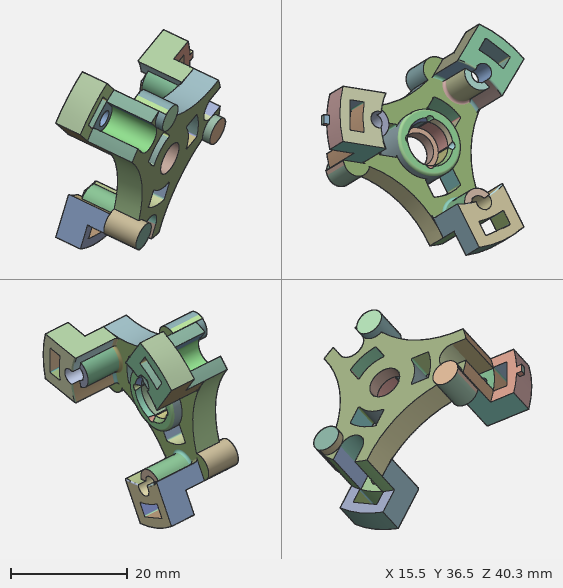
import cadquery as cq
import math


ARM_SHELF_X = 5.0
PLATE_FRONT_X = 9.0
PLATE_REAR_X = 14.0
PIN_END_X = 15.5
HUB_FRONT_X = 6.92
BEARING_FLOOR_X = 11.5
SLEEVE_FRONT_X = 1.7

ARM_COUNT = 3
ARM_STEP = 360 / ARM_COUNT
ARM_HALF_WIDTH = 5.0
ARM_INNER_RADIUS = 13.0
ARM_FOOT_RADIUS = 16.5
ARM_TIP_RADIUS = 20.98
NOSE_FILLET = 0.25
FOOT_FILLET = 0.5

SLOT_OUTER_Y = 19.0
SLOT_HALF_WIDTH = 2.75
SLOT_CORNER_FILLET = 0.2

SCREW_Y = 13.5
SCREW_HOLE_RADIUS = 1.5
SLEEVE_RADIUS = 2.8
SEAT_HALF_WIDTH = 2.5

PIN_RADIUS = SEAT_HALF_WIDTH
PIN_Y = math.sqrt((ARM_FOOT_RADIUS - PIN_RADIUS)**2 - ARM_HALF_WIDTH**2)

SCALLOP_DEPTH_RADIUS = 8.95
WINDOW_OUTER_RADIUS = 9.2
WINDOW_HALF_WIDTH = 2.98
WINDOW_CORNER_FILLET = 0.25

HUB_RADIUS = 6.0
HUB_FILLET = 0.5
BORE_RADIUS = 2.98
BEARING_RADIUS = 3.9
BEARING_MOUTH_RADIUS = 4.35
BEARING_MOUTH_DEPTH = 1.0
NOTCH_COUNT = 4
NOTCH_CENTER_RADIUS = 3.95
NOTCH_MOUTH_RADIUS = 0.8
GROOVE_RADIUS = 0.1

NUB_TIP_Y = 22.0
NUB_WIDTH = 1.6
NUB_LENGTH = 1.0

ARC_MIDDLE = 1 - math.sqrt(0.5)


def section(x):
    """Sketch plane across the axis at x; its axes are Y and Z."""
    return cq.Workplane("YZ", origin=(x, 0, 0))


def cylinder(x_start, x_end, radius, y=0, z=0):
    return section(x_start).center(y, z).circle(radius).extrude(x_end - x_start)


def slab(x_start, x_end, y_start, y_end, half_width):
    size = (x_end - x_start, y_end - y_start, 2 * half_width)
    return cq.Workplane("XY").box(*size, centered=(False, False, True)).translate((x_start, y_start, 0))


def around_axis(shape, count=ARM_COUNT):
    """Join equally spaced copies of a shape around the X axis."""
    copies = shape
    for index in range(1, count):
        copies = copies.union(shape.rotate((0, 0, 0), (1, 0, 0), index * 360 / count))
    return copies


def polar(radius, degrees):
    angle = math.radians(degrees)
    return (radius * math.cos(angle), radius * math.sin(angle))


def on_arm(y, z, degrees):
    """Turn a point of the +Y arm to the arm at the given angle."""
    return polar(math.hypot(y, z), math.degrees(math.atan2(z, y)) + degrees)


def make_plate():
    """Star-shaped plate with a scallop between the outer corners of neighbouring arms."""
    corner_y = math.sqrt(ARM_FOOT_RADIUS**2 - ARM_HALF_WIDTH**2)

    outline = section(PLATE_FRONT_X).moveTo(corner_y, -ARM_HALF_WIDTH)
    for index in range(ARM_COUNT):
        angle = index * ARM_STEP
        next_angle = angle + ARM_STEP
        outline = (
            outline
            .threePointArc(polar(ARM_FOOT_RADIUS, angle), on_arm(corner_y, ARM_HALF_WIDTH, angle))
            .threePointArc(
                polar(SCALLOP_DEPTH_RADIUS, angle + ARM_STEP / 2),
                on_arm(corner_y, -ARM_HALF_WIDTH, next_angle),
            )
        )
    return outline.close().extrude(PLATE_REAR_X - PLATE_FRONT_X)


def make_arm():
    """Stepped ring profile turned about the axis and trimmed to the arm width."""
    ring = (
        cq.Workplane("XY")
        .moveTo(0, ARM_INNER_RADIUS + NOSE_FILLET)
        .lineTo(0, ARM_TIP_RADIUS)
        .lineTo(ARM_SHELF_X, ARM_TIP_RADIUS)
        .lineTo(ARM_SHELF_X, ARM_FOOT_RADIUS)
        .lineTo(PLATE_FRONT_X, ARM_FOOT_RADIUS)
        .lineTo(PLATE_FRONT_X, ARM_INNER_RADIUS - FOOT_FILLET)
        .threePointArc(
            (PLATE_FRONT_X - ARC_MIDDLE * FOOT_FILLET, ARM_INNER_RADIUS - ARC_MIDDLE * FOOT_FILLET),
            (PLATE_FRONT_X - FOOT_FILLET, ARM_INNER_RADIUS),
        )
        .lineTo(NOSE_FILLET, ARM_INNER_RADIUS)
        .threePointArc(
            (ARC_MIDDLE * NOSE_FILLET, ARM_INNER_RADIUS + ARC_MIDDLE * NOSE_FILLET),
            (0, ARM_INNER_RADIUS + NOSE_FILLET),
        )
        .close()
        .revolve(360, (0, 0, 0), (1, 0, 0))
    )
    return ring.intersect(slab(0, PLATE_FRONT_X, 0, ARM_TIP_RADIUS, ARM_HALF_WIDTH))


def make_sleeve():
    """Screw sleeve with a fillet where it meets the plate."""
    return (
        cq.Workplane("XY")
        .moveTo(SLEEVE_FRONT_X, SCREW_Y)
        .lineTo(SLEEVE_FRONT_X, SCREW_Y + SLEEVE_RADIUS)
        .lineTo(PLATE_FRONT_X - FOOT_FILLET, SCREW_Y + SLEEVE_RADIUS)
        .threePointArc(
            (PLATE_FRONT_X - ARC_MIDDLE * FOOT_FILLET, SCREW_Y + SLEEVE_RADIUS + ARC_MIDDLE * FOOT_FILLET),
            (PLATE_FRONT_X, SCREW_Y + SLEEVE_RADIUS + FOOT_FILLET),
        )
        .lineTo(PLATE_FRONT_X, SCREW_Y)
        .close()
        .revolve(360, (0, SCREW_Y, 0), (1, SCREW_Y, 0))
    )


def make_pin():
    """Round pin, filled out to the corner of the arm along the arm's outer curve."""
    touch_angle = -math.degrees(math.atan2(ARM_HALF_WIDTH, PIN_Y))
    corner_angle = -math.degrees(math.asin(ARM_HALF_WIDTH / ARM_FOOT_RADIUS))
    corner_fill = (
        section(PLATE_FRONT_X)
        .moveTo(PIN_Y, -ARM_HALF_WIDTH)
        .lineTo(*polar(ARM_FOOT_RADIUS, touch_angle))
        .threePointArc(
            polar(ARM_FOOT_RADIUS, (touch_angle + corner_angle) / 2),
            polar(ARM_FOOT_RADIUS, corner_angle),
        )
        .close()
        .extrude(PIN_END_X - PLATE_FRONT_X)
    )
    pin = cylinder(PLATE_FRONT_X, PIN_END_X, PIN_RADIUS, PIN_Y, -ARM_HALF_WIDTH)
    return pin.union(corner_fill)


def make_arm_slot():
    ring = cylinder(0, ARM_SHELF_X, ARM_TIP_RADIUS).cut(cylinder(0, ARM_SHELF_X, ARM_FOOT_RADIUS))
    slot = slab(0, ARM_SHELF_X, 0, SLOT_OUTER_Y, SLOT_HALF_WIDTH).intersect(ring)
    return slot.edges("|X").fillet(SLOT_CORNER_FILLET)


def make_screw_seat():
    """Through hole plus the rear seat, open towards the outside of the arm."""
    hole = cylinder(0, PIN_END_X, SCREW_HOLE_RADIUS, SCREW_Y)
    seat_end = cylinder(ARM_SHELF_X, PIN_END_X, SEAT_HALF_WIDTH, SCREW_Y)
    seat_mouth = slab(ARM_SHELF_X, PIN_END_X, SCREW_Y, ARM_TIP_RADIUS, SEAT_HALF_WIDTH)
    return hole.union(seat_end).union(seat_mouth)


def make_window():
    ring = cylinder(PLATE_FRONT_X, PLATE_REAR_X, WINDOW_OUTER_RADIUS)
    ring = ring.cut(cylinder(PLATE_FRONT_X, PLATE_REAR_X, HUB_RADIUS))
    strip = slab(PLATE_FRONT_X, PLATE_REAR_X, 0, WINDOW_OUTER_RADIUS, WINDOW_HALF_WIDTH)
    return ring.intersect(strip).edges("|X").fillet(WINDOW_CORNER_FILLET)


def make_hub():
    return cylinder(HUB_FRONT_X, PLATE_REAR_X, HUB_RADIUS).faces("<X").edges().fillet(HUB_FILLET)


def make_hub_bore():
    """Bore, bearing seat with a tapered mouth, and notches that run on as fine grooves."""
    mouth_end_x = HUB_FRONT_X + BEARING_MOUTH_DEPTH
    bore = (
        cq.Workplane("XY")
        .moveTo(HUB_FRONT_X, 0)
        .lineTo(HUB_FRONT_X, BEARING_MOUTH_RADIUS)
        .lineTo(mouth_end_x, BEARING_RADIUS)
        .lineTo(BEARING_FLOOR_X, BEARING_RADIUS)
        .lineTo(BEARING_FLOOR_X, BORE_RADIUS)
        .lineTo(PLATE_REAR_X, BORE_RADIUS)
        .lineTo(PLATE_REAR_X, 0)
        .close()
        .revolve(360, (0, 0, 0), (1, 0, 0))
    )
    return bore.union(around_axis(make_notch(), NOTCH_COUNT))


def make_notch():
    """Conical notch in the tapered mouth, running on to the seat floor as a fine groove."""
    cone = cq.Workplane(
        cq.Solid.makeCone(
            NOTCH_MOUTH_RADIUS,
            GROOVE_RADIUS,
            BEARING_MOUTH_DEPTH,
            pnt=cq.Vector(HUB_FRONT_X, NOTCH_CENTER_RADIUS, 0),
            dir=cq.Vector(1, 0, 0),
        )
    )
    groove = cylinder(HUB_FRONT_X, BEARING_FLOOR_X, GROOVE_RADIUS, NOTCH_CENTER_RADIUS)
    return cone.union(groove)


def make_nub():
    start_x = ARM_SHELF_X - NUB_LENGTH
    return slab(start_x, ARM_SHELF_X, SLOT_OUTER_Y, NUB_TIP_Y, NUB_WIDTH / 2)


arm = make_arm().union(make_sleeve()).union(make_pin())
arm_cuts = make_arm_slot().union(make_screw_seat()).union(make_window())

result = make_plate().union(around_axis(arm)).union(make_hub()).union(make_nub())
result = result.cut(around_axis(arm_cuts)).cut(make_hub_bore())